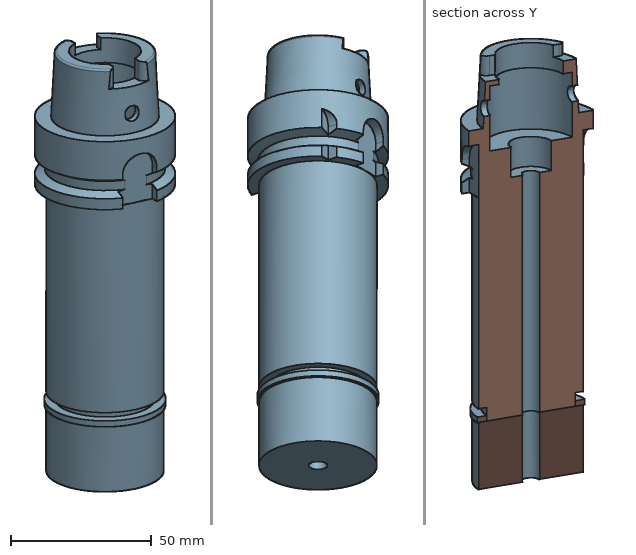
import cadquery as cq
TOTAL_HEIGHT = 160.0
NUT_TOP = 25.1
RING_TOP = 27.4
BODY_BOTTOM = 30.2
FLANGE_BOTTOM = 109.3
FLANGE_TOP = 135.2
GROOVE_BOTTOM = 115.2
GROOVE_TOP = 118.7

FLANGE_RADIUS = 25.0
BODY_RADIUS = 21.0
GROOVE_RADIUS = 21.5
NECK_RADIUS = 17.8
RING_RADIUS = 21.6
NUT_RADIUS = BODY_RADIUS
NUT_CHAMFER = 0.3

FLANK_HEIGHT = 1.8

TAPER_BASE_RADIUS = 19.2
TAPER_TOP_RADIUS = 18.0
TAPER_EDGE_ROUND = 0.8

LIP_RADIUS = 12.8
UNDERCUT_RADIUS = 16.3
LIP_BOTTOM = 150.5
UNDERCUT_BOTTOM = 126.4
COUNTERBORE_RADIUS = 8.0
COUNTERBORE_BOTTOM = 115.2
THROUGH_RADIUS = 3.4

DRIVE_SLOT_HALF_WIDTH = 5.3
DRIVE_SLOT_DEPTH_LEFT = 4.5
DRIVE_SLOT_DEPTH_RIGHT = 7.4
DRIVE_SLOT_MOUTH = 16.3
DRIVE_SLOT_ROUND = 2.4

CROSS_HOLE_RADIUS = 2.9
CROSS_HOLE_HEIGHT = 142.5

KEYWAY_CENTER_HEIGHT = 122.2
KEYWAY_FLOOR = BODY_RADIUS
KEYWAY_LEFT_WIDTH = 12.0
KEYWAY_RIGHT_WIDTH = 14.0
NOTCH_FLOOR = 15.7
NOTCH_CENTER_Y = 21.6
NOTCH_WIDTH = KEYWAY_LEFT_WIDTH


def cylinder(radius, bottom, top):
    """Upright cylinder on the tool axis."""
    return cq.Workplane("XY").workplane(offset=bottom).circle(radius).extrude(top - bottom)


def revolved_holder():
    """Neck, body, grooved flange and taper shank as one turned blank."""
    blank = (
        cq.Workplane("XZ")
        .moveTo(0, NUT_TOP)
        .lineTo(NECK_RADIUS, NUT_TOP)
        .lineTo(NECK_RADIUS, BODY_BOTTOM)
        .lineTo(BODY_RADIUS, BODY_BOTTOM)
        .lineTo(BODY_RADIUS, FLANGE_BOTTOM)
        .lineTo(FLANGE_RADIUS, FLANGE_BOTTOM)
        .lineTo(FLANGE_RADIUS, GROOVE_BOTTOM - FLANK_HEIGHT)
        .lineTo(GROOVE_RADIUS, GROOVE_BOTTOM)
        .lineTo(GROOVE_RADIUS, GROOVE_TOP)
        .lineTo(FLANGE_RADIUS, GROOVE_TOP + FLANK_HEIGHT)
        .lineTo(FLANGE_RADIUS, FLANGE_TOP)
        .lineTo(TAPER_BASE_RADIUS, FLANGE_TOP)
        .lineTo(TAPER_TOP_RADIUS, TOTAL_HEIGHT)
        .lineTo(0, TOTAL_HEIGHT)
        .close()
        .revolve(360, (0, 0, 0), (0, 1, 0))
    )
    return blank.faces(">Z").edges().fillet(TAPER_EDGE_ROUND)


def holder_bore():
    """Stepped bore: rim lip, wider undercut, counterbore and through hole."""
    return (
        cylinder(LIP_RADIUS, LIP_BOTTOM, TOTAL_HEIGHT)
        .union(cylinder(UNDERCUT_RADIUS, UNDERCUT_BOTTOM, LIP_BOTTOM))
        .union(cylinder(COUNTERBORE_RADIUS, COUNTERBORE_BOTTOM, UNDERCUT_BOTTOM))
        .union(cylinder(THROUGH_RADIUS, NUT_TOP, COUNTERBORE_BOTTOM))
    )


def drive_slot(side, depth):
    """Cutter for a rim slot on the side (-1 or 1) along X, with a rounded, flared mouth."""
    half = DRIVE_SLOT_HALF_WIDTH
    wide = half + DRIVE_SLOT_ROUND
    round_start = DRIVE_SLOT_MOUTH - DRIVE_SLOT_ROUND
    diagonal = DRIVE_SLOT_ROUND * 0.5 ** 0.5
    mid_x = round_start + diagonal
    mid_y = wide - diagonal
    outside = FLANGE_RADIUS
    return (
        cq.Workplane("XY")
        .workplane(offset=TOTAL_HEIGHT - depth)
        .moveTo(0, -half)
        .lineTo(side * round_start, -half)
        .threePointArc((side * mid_x, -mid_y), (side * DRIVE_SLOT_MOUTH, -wide))
        .lineTo(side * DRIVE_SLOT_MOUTH, -outside)
        .lineTo(side * outside, -outside)
        .lineTo(side * outside, outside)
        .lineTo(side * DRIVE_SLOT_MOUTH, outside)
        .lineTo(side * DRIVE_SLOT_MOUTH, wide)
        .threePointArc((side * mid_x, mid_y), (side * round_start, half))
        .lineTo(0, half)
        .close()
        .extrude(depth)
    )


def cross_hole():
    """Cutter along X through both walls of the shank."""
    return (
        cq.Workplane("YZ")
        .center(0, CROSS_HOLE_HEIGHT)
        .circle(CROSS_HOLE_RADIUS)
        .extrude(FLANGE_RADIUS, both=True)
    )


def flange_keyway(side, floor, center_y, width):
    """Round-topped cutter, open at the flange bottom, with a flat floor facing along X."""
    half_width = width / 2
    return (
        cq.Workplane("YZ")
        .workplane(offset=side * floor)
        .moveTo(center_y - half_width, FLANGE_BOTTOM)
        .lineTo(center_y - half_width, KEYWAY_CENTER_HEIGHT)
        .threePointArc(
            (center_y, KEYWAY_CENTER_HEIGHT + half_width),
            (center_y + half_width, KEYWAY_CENTER_HEIGHT),
        )
        .lineTo(center_y + half_width, FLANGE_BOTTOM)
        .close()
        .extrude(side * FLANGE_RADIUS)
    )


def make_holder():
    """Tool holder with its bore, rim slots, cross hole and flange cut-outs."""
    return (
        revolved_holder()
        .cut(holder_bore())
        .cut(drive_slot(-1, DRIVE_SLOT_DEPTH_LEFT))
        .cut(drive_slot(1, DRIVE_SLOT_DEPTH_RIGHT))
        .cut(cross_hole())
        .cut(flange_keyway(-1, KEYWAY_FLOOR, 0, KEYWAY_LEFT_WIDTH))
        .cut(flange_keyway(1, KEYWAY_FLOOR, 0, KEYWAY_RIGHT_WIDTH))
        .cut(flange_keyway(-1, NOTCH_FLOOR, NOTCH_CENTER_Y, NOTCH_WIDTH))
    )


def make_ring():
    """Flat ring around the neck, resting on the nut."""
    return cylinder(RING_RADIUS, NUT_TOP, RING_TOP).cut(cylinder(NECK_RADIUS, NUT_TOP, RING_TOP))


def make_nut():
    """Nut under the neck, with a chamfered upper edge and the through hole."""
    blank = cylinder(NUT_RADIUS, 0, NUT_TOP).faces(">Z").chamfer(NUT_CHAMFER)
    return blank.cut(cylinder(THROUGH_RADIUS, 0, NUT_TOP))


holder = make_holder()
ring = make_ring()
nut = make_nut()

result = cq.Compound.makeCompound([holder.val(), ring.val(), nut.val()])